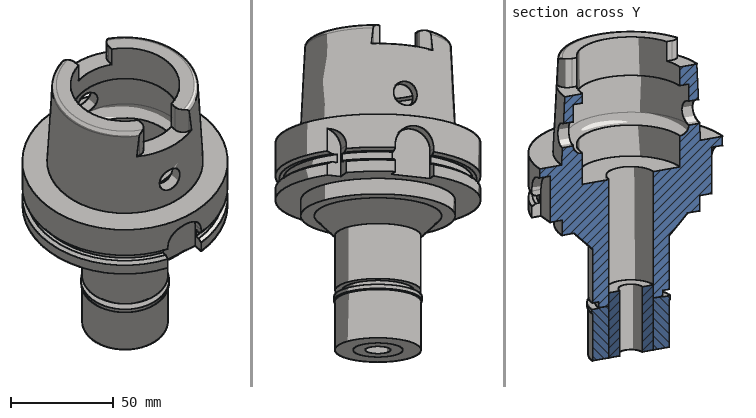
import cadquery as cq
import math

total_height = 155.0
flange_top = 105.0
flange_bottom = 76.0
hub_bottom = 68.0
shank_top = 58.0
neck_top = 30.0
nut_top = 27.0

taper_base_diameter = 76.0
taper_top_diameter = 71.0
taper_rim_fillet = 2.0

mouth_diameter = 53.0
mouth_depth = 20.0
chamber_diameter = 63.0
chamber_wall_depth = 40.9
bore_depth = 62.0
coolant_hole_diameter = 12.2
coolant_hole_depth = 35.0

notch_width = 20.0
notch_corner_radius = 5.0
lug_half_length = 32.2
left_notch_depth = 10.0
right_notch_depth = 14.9

flange_diameter = 100.0
groove_diameter = 92.0
groove_edge_diameter = 96.1
groove_top = 87.0
groove_bottom = 83.0
groove_bevel_height = 1.2

slot_top = flange_top - 5.0
slot_width = 20.0
key_slot_floor = 44.0
side_slot_floor = 31.5
side_slot_inner_edge = 31.6

hub_diameter = 75.2
shank_diameter = 41.8
neck_diameter = 35.2

nut_diameter = 42.0
nut_lip_diameter = 43.0
nut_lip_height = 2.0

collet_diameter = 24.2
collet_length = 34.1
collet_bore_diameter = 12.2

quarter_arc_middle = math.sqrt(0.5)


def revolve_about_z(points):
    """Solid of revolution from (radius, height) points."""
    profile = cq.Workplane("XZ").polyline(points).close()
    return profile.revolve(360, (0, 0, 0), (0, 1, 0))


def cylinder(diameter, bottom, top):
    """Upright cylinder on the Z axis between two heights."""
    return cq.Workplane("XY").workplane(offset=bottom).circle(diameter / 2).extrude(top - bottom)


def make_taper():
    """Tapered shank standing on the flange, with a rounded rim."""
    taper = revolve_about_z([
        (0, flange_top),
        (taper_base_diameter / 2, flange_top),
        (taper_top_diameter / 2, total_height),
        (0, total_height),
    ])
    return taper.faces(">Z").edges().fillet(taper_rim_fillet)


def make_flange():
    """Flange disc with a bevelled gripper groove around it."""
    outer = flange_diameter / 2
    edge = groove_edge_diameter / 2
    inner = groove_diameter / 2
    return revolve_about_z([
        (0, flange_bottom),
        (outer, flange_bottom),
        (outer, groove_bottom - groove_bevel_height),
        (edge, groove_bottom),
        (inner, groove_bottom),
        (inner, groove_top),
        (edge, groove_top),
        (outer, groove_top + groove_bevel_height),
        (outer, flange_top),
        (0, flange_top),
    ])


def make_shank():
    """Hub, 45 degree cone, cylindrical shank and the narrow neck above the nut."""
    shank = shank_diameter / 2
    neck = neck_diameter / 2
    cone_top = shank + hub_bottom - shank_top
    return revolve_about_z([
        (0, nut_top),
        (neck, nut_top),
        (neck, neck_top),
        (shank, neck_top),
        (shank, shank_top),
        (cone_top, hub_bottom),
        (hub_diameter / 2, hub_bottom),
        (hub_diameter / 2, flange_bottom),
        (0, flange_bottom),
    ])


def make_drive_notch(side, depth):
    """Cutter for a rim notch on the -X (side = -1) or +X (side = 1) side of the taper."""
    half_width = notch_width / 2
    radius = notch_corner_radius
    arc_start = lug_half_length - radius
    arc_center_y = half_width + radius
    arc_middle_x = arc_start + radius * quarter_arc_middle
    arc_middle_y = arc_center_y - radius * quarter_arc_middle
    reach = taper_base_diameter / 2
    outline = (
        cq.Workplane("XY").workplane(offset=total_height - depth)
        .moveTo(0, -half_width)
        .lineTo(side * arc_start, -half_width)
        .threePointArc((side * arc_middle_x, -arc_middle_y), (side * lug_half_length, -arc_center_y))
        .lineTo(side * lug_half_length, -reach)
        .lineTo(side * reach, -reach)
        .lineTo(side * reach, reach)
        .lineTo(side * lug_half_length, reach)
        .lineTo(side * lug_half_length, arc_center_y)
        .threePointArc((side * arc_middle_x, arc_middle_y), (side * arc_start, half_width))
        .lineTo(0, half_width)
        .close()
    )
    return outline.extrude(depth)


def make_clamping_bore():
    """Cutter for the clamping bore, widened below its mouth into a chamber with a rounded bottom."""
    mouth = mouth_diameter / 2
    chamber = chamber_diameter / 2
    round_radius = chamber - mouth
    round_top = total_height - chamber_wall_depth
    round_middle = (
        mouth + round_radius * quarter_arc_middle,
        round_top - round_radius * quarter_arc_middle,
    )
    bore_bottom = total_height - bore_depth
    profile = (
        cq.Workplane("XZ")
        .moveTo(0, bore_bottom)
        .lineTo(mouth, bore_bottom)
        .lineTo(mouth, round_top - round_radius)
        .threePointArc(round_middle, (chamber, round_top))
        .lineTo(chamber, total_height - mouth_depth)
        .lineTo(mouth, total_height - mouth_depth)
        .lineTo(mouth, total_height)
        .lineTo(0, total_height)
        .close()
    )
    return profile.revolve(360, (0, 0, 0), (0, 1, 0))


def make_arched_slot(side, floor, center_y):
    """Cutter for a round-topped slot that runs outward along X from its flat floor."""
    radius = slot_width / 2
    arch_start = slot_top - radius
    outline = (
        cq.Workplane("YZ").workplane(offset=side * floor)
        .moveTo(center_y - radius, flange_bottom)
        .lineTo(center_y - radius, arch_start)
        .threePointArc((center_y, slot_top), (center_y + radius, arch_start))
        .lineTo(center_y + radius, flange_bottom)
        .close()
    )
    return outline.extrude(side * (flange_diameter / 2 - floor))


def make_holder():
    """Tool holder: taper, flange and shank in one piece."""
    holder = make_taper().union(make_flange()).union(make_shank())

    holder = holder.cut(make_clamping_bore())
    holder = holder.cut(cylinder(collet_diameter, nut_top, total_height - bore_depth))

    cross_hole = (
        cq.Workplane("YZ").center(0, total_height - coolant_hole_depth)
        .circle(coolant_hole_diameter / 2).extrude(taper_base_diameter / 2, both=True)
    )
    holder = holder.cut(cross_hole)

    for side, depth in ((-1, left_notch_depth), (1, right_notch_depth)):
        holder = holder.cut(make_drive_notch(side, depth))

    for side in (-1, 1):
        holder = holder.cut(make_arched_slot(side, key_slot_floor, 0))
    side_slot_center = side_slot_inner_edge + slot_width / 2
    return holder.cut(make_arched_slot(-1, side_slot_floor, side_slot_center))


def make_nut():
    """Clamping nut with a slightly wider, bevelled lip at its top."""
    body = nut_diameter / 2
    lip = nut_lip_diameter / 2
    lip_bottom = nut_top - nut_lip_height
    bevel = lip - body
    bore = collet_diameter / 2
    return revolve_about_z([
        (bore, 0),
        (body, 0),
        (body, lip_bottom - bevel),
        (lip, lip_bottom),
        (lip, nut_top),
        (bore, nut_top),
    ])


def make_collet():
    """Collet sleeve, flush with the nut face and reaching up into the shank."""
    sleeve = cylinder(collet_diameter, 0, collet_length)
    return sleeve.cut(cylinder(collet_bore_diameter, 0, collet_length))


holder = make_holder()
nut = make_nut()
collet = make_collet()

result = cq.Compound.makeCompound([holder.val(), nut.val(), collet.val()])